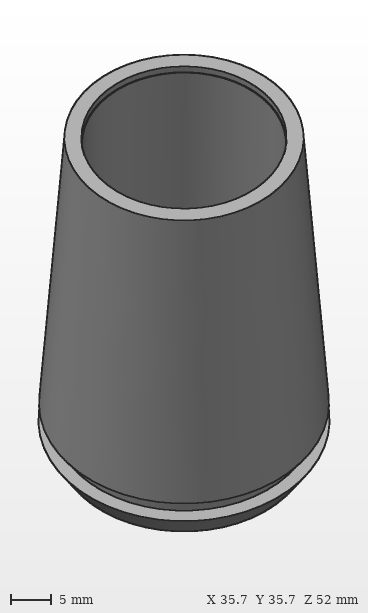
import cadquery as cq

total_height = 52.0
flange_height = 3.95
groove_width = 2.9
taper_base = flange_height + groove_width

flange_bottom_radius = 15.6
flange_top_radius = 17.86
groove_radius = 16.0
taper_bottom_radius = 17.8
taper_top_radius = 14.65

bore_radius = 12.5
recess_radius = 12.6
recess_depth = 1.0

outer_profile = [
    (0, 0),
    (flange_bottom_radius, 0),
    (flange_top_radius, flange_height),
    (groove_radius, flange_height),
    (groove_radius, taper_base),
    (taper_bottom_radius, taper_base),
    (taper_top_radius, total_height),
    (0, total_height),
]
body = cq.Workplane("XZ").polyline(outer_profile).close().revolve(360, (0, 0), (0, 1))

body = body.rotate((0, 0, 0), (0, 0, 1), -90)

bore = cq.Workplane("XY").circle(bore_radius).extrude(total_height)
recess = (
    cq.Workplane("XY")
    .workplane(offset=total_height - recess_depth)
    .circle(recess_radius)
    .extrude(recess_depth)
)

result = body.cut(bore).cut(recess)